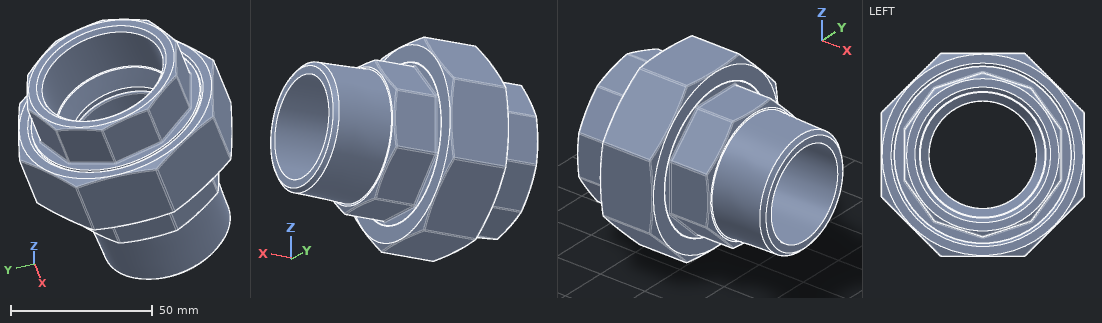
import cadquery as cq
import math


bushing_shoulder_x = 17.2
nut_start_x = 17.0
nut_end_x = 41.0
seal_start_x = 25.6
tail_start_x = 28.5
nut_lip_x = 35.6
tail_prism_end_x = 58.4
tail_end_x = 81.0

bushing_flats = 55.3
bushing_face_diameter = 53.95
nut_flats = 72.0
nut_face_diameter = 71.3
tail_flats = 51.75
tail_face_diameter = 50.0
wrench_chamfer_angle = 22.0
corner_radius = 1.0
edge_radius = 0.5
shoulder_fillet = 0.5

plane_tolerance = 0.1

nut_thread_diameter = 62.85
nut_mouth_diameter = 65.0
union_thread_diameter = 62.5
nut_lip_diameter = 59.0
tail_collar_diameter = 58.5

bore_diameter = 38.0
female_mouth_diameter = 48.0
female_thread_diameter = 44.9
female_step_diameter = 44.2
female_thread_end_x = 18.55
seal_bore_diameter = 39.7
tail_bore_rounding = 0.5

male_base_diameter = 48.5
male_end_diameter = 47.15
male_tip_diameter = 44.0


def turned(points):
    """Solid of revolution about the X axis from (x, diameter) corners."""
    outline = [(x, diameter / 2) for x, diameter in points]
    return cq.Workplane("XZ").polyline(outline).close().revolve(360, (0, 0, 0), (1, 0, 0))


def wrench_prism(sides, flats, start_x, end_x):
    """Regular prism along X with flats facing +Y and -Y and rounded corners."""
    corner_distance = flats / 2 / math.cos(math.pi / sides)
    corners = []
    for i in range(sides):
        angle = (2 * i + 1) * math.pi / sides
        corners.append((corner_distance * math.cos(angle), corner_distance * math.sin(angle)))
    outline = cq.Workplane("YZ", origin=(start_x, 0, 0)).polyline(corners).close()
    prism = outline.extrude(end_x - start_x)
    return prism.edges("|X").fillet(corner_radius)


def chamfer_end(prism, flats, face_diameter, end_x, inward):
    """Cut the corners of a prism end to a cone and round the scalloped edges.

    inward is the X direction (+1 or -1) from the end face into the prism.
    """
    cone_length = flats
    cone_diameter = face_diameter + 2 * cone_length / math.tan(math.radians(wrench_chamfer_angle))
    far_x = end_x + inward * cone_length
    cone = turned([(end_x, 0), (end_x, face_diameter), (far_x, cone_diameter), (far_x, 0)])
    coned = prism.intersect(cone)
    scallops = coned.faces("%CONE").edges().edges("not %CIRCLE")
    return coned.newObject(scallops.vals()).fillet(edge_radius)


def fillet_shoulder(body, shoulder_x):
    """Round the inside corner where a wrench prism stands on a round shoulder."""
    slab_start = (shoulder_x - plane_tolerance, -nut_flats, -nut_flats)
    slab_end = (shoulder_x + plane_tolerance, nut_flats, nut_flats)
    edges = body.edges(cq.selectors.BoxSelector(slab_start, slab_end)).vals()
    rim = max(edges, key=lambda edge: edge.Length())
    prism_edges = [edge for edge in edges if not edge.isSame(rim)]
    return body.newObject(prism_edges).fillet(shoulder_fillet)


def make_bushing():
    prism = wrench_prism(10, bushing_flats, 0, bushing_shoulder_x)
    prism = chamfer_end(prism, bushing_flats, bushing_face_diameter, 0, 1)
    union_thread = turned(
        [
            (bushing_shoulder_x, 0),
            (bushing_shoulder_x, union_thread_diameter),
            (seal_start_x, union_thread_diameter),
            (seal_start_x, 0),
        ]
    )
    mouth_depth = (female_mouth_diameter - female_thread_diameter) / 2
    step_depth = (female_thread_diameter - female_step_diameter) / 2
    bore = turned(
        [
            (0, 0),
            (0, female_mouth_diameter),
            (mouth_depth, female_thread_diameter),
            (female_thread_end_x, female_thread_diameter),
            (female_thread_end_x + step_depth, female_step_diameter),
            (seal_start_x, bore_diameter),
            (seal_start_x, 0),
        ]
    )
    joined = fillet_shoulder(prism.union(union_thread), bushing_shoulder_x)
    return joined.cut(bore)


def make_nut():
    prism = wrench_prism(8, nut_flats, nut_start_x, nut_end_x)
    prism = chamfer_end(prism, nut_flats, nut_face_diameter, nut_start_x, 1)
    prism = chamfer_end(prism, nut_flats, nut_face_diameter, nut_end_x, -1)
    mouth_depth = (nut_mouth_diameter - nut_thread_diameter) / 2
    bore = turned(
        [
            (nut_start_x, 0),
            (nut_start_x, nut_mouth_diameter),
            (nut_start_x + mouth_depth, nut_thread_diameter),
            (nut_lip_x, nut_thread_diameter),
            (nut_lip_x, nut_lip_diameter),
            (nut_end_x, nut_lip_diameter),
            (nut_end_x, 0),
        ]
    )
    return prism.cut(bore)


def make_seal():
    return turned(
        [
            (seal_start_x, seal_bore_diameter),
            (seal_start_x, union_thread_diameter),
            (tail_start_x, union_thread_diameter),
            (tail_start_x, seal_bore_diameter),
        ]
    )


def make_tail():
    prism = wrench_prism(8, tail_flats, nut_end_x, tail_prism_end_x)
    prism = chamfer_end(prism, tail_flats, tail_face_diameter, tail_prism_end_x, -1)
    flange = turned(
        [
            (tail_start_x, 0),
            (tail_start_x, union_thread_diameter),
            (nut_lip_x, union_thread_diameter),
            (nut_lip_x, tail_collar_diameter),
            (nut_end_x, tail_collar_diameter),
            (nut_end_x, 0),
        ]
    )
    tip_chamfer = (male_end_diameter - male_tip_diameter) / 2
    male_thread = turned(
        [
            (tail_prism_end_x, 0),
            (tail_prism_end_x, male_base_diameter),
            (tail_end_x - tip_chamfer, male_end_diameter),
            (tail_end_x, male_tip_diameter),
            (tail_end_x, 0),
        ]
    )
    bore = turned(
        [
            (tail_start_x, 0),
            (tail_start_x, bore_diameter),
            (tail_end_x, bore_diameter),
            (tail_end_x, 0),
        ]
    )
    joined = fillet_shoulder(flange.union(prism), nut_end_x).union(male_thread)
    bored = joined.cut(bore)
    bore_edge = bored.faces("<X").edges(cq.selectors.RadiusNthSelector(0))
    return bore_edge.fillet(tail_bore_rounding)


bushing = make_bushing()
nut = make_nut()
seal = make_seal()
tail = make_tail()

result = cq.Compound.makeCompound([bushing.val(), nut.val(), seal.val(), tail.val()])